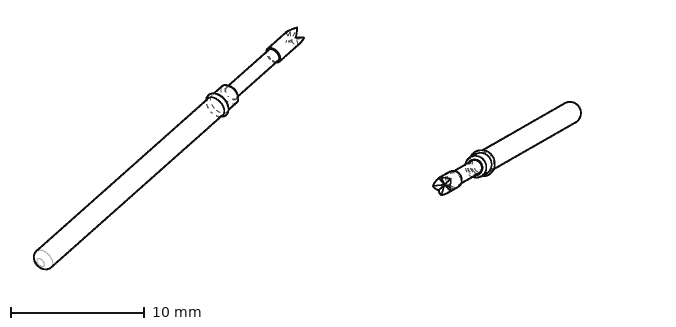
import cadquery as cq
import math


total_length = 32.3
crown_to_ring = 10.05
head_length = 3.0
crown_to_barrel = 8.3
mouth_chamfer_length = 0.22

head_diameter = 1.32
neck_diameter = 1.08
barrel_diameter = 1.66
mouth_diameter = 1.2
ring_diameter = 2.0

ring_width = 0.46
end_rounding_radius = 0.43
end_face_diameter = 0.7
crown_groove_angle = 60.0
crown_groove_turns = (45, 135)

crown_tip_y = crown_to_ring
head_base_y = crown_tip_y - head_length
mouth_y = crown_tip_y - crown_to_barrel
barrel_end_y = crown_tip_y - total_length


def cylinder_along_y(diameter, start_y, end_y):
    """Cylinder on the Y axis between two stations."""
    base = cq.Workplane("XZ", origin=(0, end_y, 0))
    return base.circle(diameter / 2).extrude(end_y - start_y)


def make_barrel():
    """Barrel with a chamfered mouth, a round press ring and a rounded end, as one turned profile."""
    radius = barrel_diameter / 2
    rounding_start_y = barrel_end_y + end_rounding_radius
    rounding_centre_x = radius - end_rounding_radius
    end_face_radius = end_face_diameter / 2
    end_face_y = rounding_start_y - math.sqrt(
        end_rounding_radius**2 - (rounding_centre_x - end_face_radius) ** 2
    )
    diagonal = end_rounding_radius * math.sqrt(0.5)
    profile = (
        cq.Workplane("XY")
        .moveTo(0, end_face_y)
        .lineTo(end_face_radius, end_face_y)
        .threePointArc(
            (rounding_centre_x + diagonal, rounding_start_y - diagonal),
            (radius, rounding_start_y),
        )
        .lineTo(radius, -ring_width / 2)
        .threePointArc((ring_diameter / 2, 0), (radius, ring_width / 2))
        .lineTo(radius, mouth_y - mouth_chamfer_length)
        .lineTo(mouth_diameter / 2, mouth_y)
        .lineTo(0, mouth_y)
        .close()
    )
    return profile.revolve(360, (0, 0, 0), (0, 1, 0))


def make_crown_groove(turn_angle):
    """V groove across the head, turned about the Y axis."""
    half_angle = math.radians(crown_groove_angle / 2)
    half_width = head_diameter / 2 * math.sqrt(0.5)
    depth = half_width / math.tan(half_angle)
    groove = (
        cq.Workplane("XY", origin=(0, 0, -head_diameter))
        .moveTo(0, crown_tip_y - depth)
        .lineTo(2 * half_width, crown_tip_y + depth)
        .lineTo(-2 * half_width, crown_tip_y + depth)
        .close()
        .extrude(2 * head_diameter)
    )
    return groove.rotate((0, 0, 0), (0, 1, 0), turn_angle)


def make_plunger():
    """Neck and crowned head, with points facing +X, -X, +Z and -Z."""
    neck = cylinder_along_y(neck_diameter, mouth_y, head_base_y)
    head = cylinder_along_y(head_diameter, head_base_y, crown_tip_y)
    for turn_angle in crown_groove_turns:
        head = head.cut(make_crown_groove(turn_angle))
    return neck.union(head)


result = make_barrel().union(make_plunger())